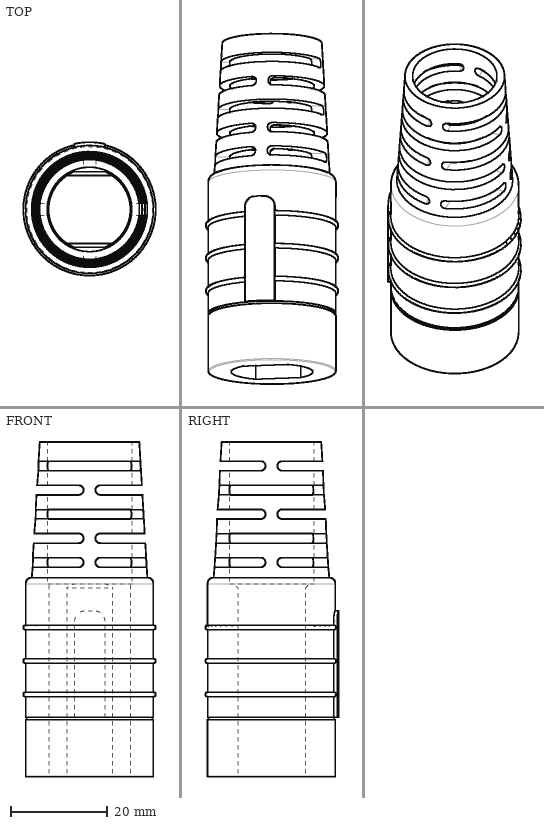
import cadquery as cq

total_height = 69.5
body_radius = 13.3
shoulder_z = 41.35
bottom_fillet = 0.2

cage_base_radius = 12.0
cage_top_radius = 10.35
cage_bore_radius = 8.75

shoulder_fillet = body_radius - cage_base_radius

ledge_z = shoulder_z - shoulder_fillet
passage_radius = 8.5
flat_offset = 7.0
flat_chamfer = 0.8

bead_radius = 0.5
bead_count = 3
first_bead_z = 17.1
bead_pitch = 6.95
groove_depth = 0.2
groove_bottom_z = 11.9
groove_height = 0.5

pad_radius = 14.0
pad_width = 6.25
pad_bottom_z = groove_bottom_z + groove_height
pad_top_z = 34.5
pad_corner_radius = 2.1

slot_height = 1.95
slot_pitch = 5.0
slot_count = 5
first_slot_z = 44.5
bar_width = 2.5
slot_reach = 2 * body_radius


def make_shell():
    """Solid body with its grip beads and cage, turned about the Z axis."""
    profile = (
        cq.Workplane("XZ")
        .lineTo(body_radius - bottom_fillet, 0)
        .radiusArc((body_radius, bottom_fillet), -bottom_fillet)
    )
    for index in range(bead_count):
        bead_z = first_bead_z + index * bead_pitch
        profile = profile.lineTo(body_radius, bead_z - bead_radius).threePointArc(
            (body_radius + bead_radius, bead_z),
            (body_radius, bead_z + bead_radius),
        )
    return (
        profile.lineTo(body_radius, shoulder_z - shoulder_fillet)
        .radiusArc((cage_base_radius, shoulder_z), -shoulder_fillet)
        .lineTo(cage_top_radius, total_height)
        .lineTo(0, total_height)
        .close()
        .revolve(360, (0, 0, 0), (0, 1, 0))
    )


def make_groove():
    """Ring of material removed by the shallow groove."""
    return (
        cq.Workplane("XY", origin=(0, 0, groove_bottom_z))
        .circle(body_radius + groove_depth)
        .circle(body_radius - groove_depth)
        .extrude(groove_height)
    )


def make_pad():
    """Curved pad with parallel sides and rounded top corners."""
    pad_height = pad_top_z - pad_bottom_z
    block = (
        cq.Workplane("XY", origin=(0, 0, pad_bottom_z))
        .rect(pad_width, pad_radius, centered=(True, False))
        .extrude(pad_height)
        .edges("|Y and >Z")
        .fillet(pad_corner_radius)
    )
    outer_cylinder = cq.Workplane("XY", origin=(0, 0, pad_bottom_z)).circle(pad_radius).extrude(pad_height)
    return block.intersect(outer_cylinder)


def make_bore():
    """Round bore in the cage and the flatted passage below the ledge."""
    cage_bore = (
        cq.Workplane("XY", origin=(0, 0, ledge_z))
        .circle(cage_bore_radius)
        .extrude(total_height - ledge_z)
    )
    chamfer_top = flat_offset + flat_chamfer
    chamfer_z = ledge_z - flat_chamfer
    between_flats = (
        cq.Workplane("YZ")
        .moveTo(-flat_offset, 0)
        .lineTo(flat_offset, 0)
        .lineTo(flat_offset, chamfer_z)
        .lineTo(chamfer_top, ledge_z)
        .lineTo(-chamfer_top, ledge_z)
        .lineTo(-flat_offset, chamfer_z)
        .close()
        .extrude(body_radius, both=True)
    )
    passage = cq.Workplane("XY").circle(passage_radius).extrude(ledge_z).intersect(between_flats)
    return cage_bore.union(passage)


def make_slot_pair(plane, z):
    """Two round-ended cuts through the cage, leaving a bar on each side along the plane normal."""
    slot_centre = (bar_width + slot_reach) / 2
    return (
        cq.Workplane(plane)
        .pushPoints([(-slot_centre, z), (slot_centre, z)])
        .slot2D(slot_reach, slot_height)
        .extrude(body_radius, both=True)
    )


result = make_shell().union(make_pad()).cut(make_groove()).cut(make_bore())

result = result.cut(make_slot_pair("XZ", first_slot_z).intersect(make_slot_pair("YZ", first_slot_z)))
for level in range(1, slot_count):
    bar_plane = "XZ" if level % 2 else "YZ"
    result = result.cut(make_slot_pair(bar_plane, first_slot_z + level * slot_pitch))